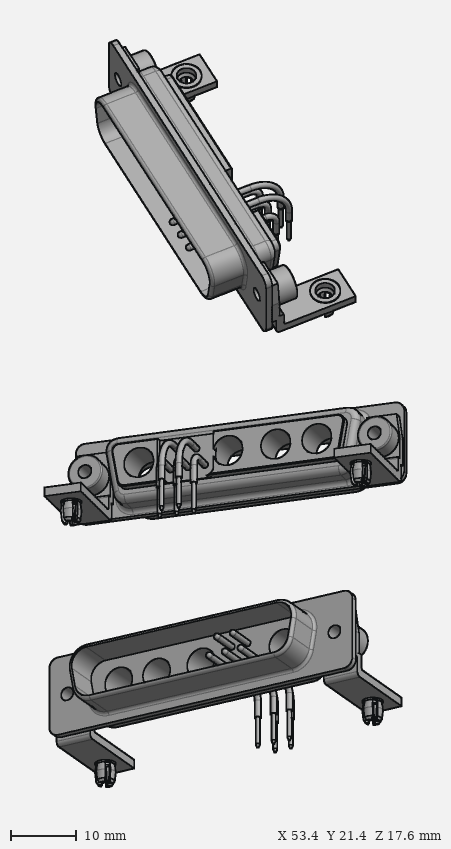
import cadquery as cq
import math


OVERALL_DEPTH = 21.35
OVERALL_HEIGHT = 17.6

FLANGE_LENGTH = 53.4
FLANGE_HEIGHT = 12.95
FLANGE_THICKNESS = 1.05
FLANGE_CORNER_RADIUS = 1.5

END_SLOPE = math.radians(10)

SHELL_LENGTH = 5.95
SHELL_HEIGHT = 9.35
SHELL_HALF_WIDTH = 19.7
SHELL_CORNER_RADIUS = 3.15
SHELL_WALL = 0.6
SHELL_RIM_RADIUS = 0.55
SHELL_FLARE_RADIUS = 0.5

HOUSING_BACK_Y = 5.0
HOUSING_HEIGHT = 10.8
HOUSING_HALF_WIDTH = 20.1
HOUSING_CORNER_RADIUS = 2.05
HOUSING_EDGE_RADIUS = 1.1
HOUSING_FLARE_RADIUS = 0.75

INSULATOR_BACK_Y = 6.45
INSULATOR_HEIGHT = 7.1
INSULATOR_HALF_WIDTH = 18.5
INSULATOR_CORNER_RADIUS = 1.1
INSULATOR_CHAMFER = 0.15

CONTACT_HOLE_XS = (-14.5, -7.8, 0.0, 14.5)
CONTACT_HOLE_DIAMETER = 4.8

PIN_CENTER_X = 6.9
PIN_PITCH = 2.8
PIN_ROW_SPACING = 2.85
PIN_ROW_Z = PIN_ROW_SPACING / 2
PIN_DIAMETER = 1.0
PIN_TIP_Y = -5.1
UPPER_PIN_BACK_Y = 13.2
UPPER_BEND_RADIUS = 5.3
LOWER_PIN_BACK_Y = 10.3
LOWER_BEND_RADIUS = 1.9
TAIL_DIAMETER = 0.7
TAIL_TIP_CHAMFER_WIDTH = 0.2
TAIL_TIP_CHAMFER_LENGTH = 0.55
TAIL_TOP_Z = -6.15
TAIL_BOTTOM_Z = FLANGE_HEIGHT / 2 - OVERALL_HEIGHT

NOTCH_WIDTH = 9.15
NOTCH_FLOOR_Y = 5.35
NOTCH_CORNER_RADIUS = 1.25

BRACKET_CENTER_X = 23.55
BRACKET_WIDTH = 5.95
BRACKET_BACK_Y = OVERALL_DEPTH - SHELL_LENGTH
FOOT_TOP_Z = -5.75
FOOT_BOTTOM_Z = -7.2
TAB_TOP_Z = 4.0
TAB_TOP_WIDTH = 4.8
TAB_THICKNESS = 1.35
LEG_FRONT_Y = 1.85
LEG_BACK_Y = 3.2
JOG_FRONT_Z = -4.1
JOG_BACK_Z = -3.3
JOG_RADIUS = 0.3
BEND_OUTER_RADIUS = 0.7

SLEEVE_DIAMETER = 5.5
SLEEVE_BACK_Y = 5.65
SLEEVE_EDGE_RADIUS = 0.2
SCREW_HOLE_DIAMETER = 2.15

LOCK_Y = 11.7
LOCK_COLLAR_DIAMETER = 4.65
LOCK_COLLAR_HEIGHT = 0.15
LOCK_MOUTH_RADIUS = 1.5
LOCK_MOUTH_BOTTOM_Z = -6.75
LOCK_BORE_RADIUS = 1.05
LOCK_NECK_RADIUS = 1.6
LOCK_TOP_RADIUS = 1.45
LOCK_TOP_Z = -7.5
LOCK_BULGE_RADIUS = 1.6
LOCK_BULGE_Z = -8.7
LOCK_SHOULDER_RADIUS = 1.45
LOCK_SHOULDER_Z = -10.15
LOCK_BOTTOM_Z = -10.65
LOCK_END_RADIUS = 1.2
LOCK_TIP_BORE_RADIUS = 0.6
LOCK_SLOT_WIDTH = 0.8
LOCK_SLOT_TOP_Z = -7.35


def y_prism(sketch, y_start, y_end):
    """Extrude an outline drawn by `sketch` on an X-Z plane from y_start to y_end."""
    return sketch(cq.Workplane("XZ", origin=(0, y_start, 0))).extrude(y_start - y_end)


def d_block(half_width, height, corner_radius, y_start, y_end):
    """D-shaped block; half_width is measured halfway up."""
    half_height = height / 2
    lean = half_height * math.tan(END_SLOPE)
    corners = [
        (-half_width - lean, half_height),
        (half_width + lean, half_height),
        (half_width - lean, -half_height),
        (-half_width + lean, -half_height),
    ]
    block = y_prism(lambda plane: plane.polyline(corners).close(), y_start, y_end)
    return block.edges("|Y").fillet(corner_radius)


def base_edges(y):
    """Select the edges on the plane at y that lie within the outline of the flange."""
    tolerance = 0.005
    half_length = FLANGE_LENGTH / 2 - FLANGE_CORNER_RADIUS
    half_height = FLANGE_HEIGHT / 2 - tolerance
    return cq.selectors.BoxSelector(
        (-half_length, y - tolerance, -half_height),
        (half_length, y + tolerance, half_height),
    )


def make_body():
    """Flange, mating shell, rear housing and insulator."""
    flange = y_prism(lambda plane: plane.rect(FLANGE_LENGTH, FLANGE_HEIGHT), 0, FLANGE_THICKNESS)
    flange = flange.edges("|Y").fillet(FLANGE_CORNER_RADIUS)

    shell = d_block(SHELL_HALF_WIDTH, SHELL_HEIGHT, SHELL_CORNER_RADIUS, -SHELL_LENGTH, 0)
    shell = shell.faces("<Y").edges().fillet(SHELL_RIM_RADIUS)
    housing = d_block(
        HOUSING_HALF_WIDTH, HOUSING_HEIGHT, HOUSING_CORNER_RADIUS, FLANGE_THICKNESS, HOUSING_BACK_Y
    )
    housing = housing.faces(">Y").edges().fillet(HOUSING_EDGE_RADIUS)

    body = flange.union(shell).union(housing)
    body = body.edges(base_edges(0)).fillet(SHELL_FLARE_RADIUS)
    body = body.edges(base_edges(FLANGE_THICKNESS)).fillet(HOUSING_FLARE_RADIUS)

    cavity = d_block(
        SHELL_HALF_WIDTH - SHELL_WALL / math.cos(END_SLOPE),
        SHELL_HEIGHT - 2 * SHELL_WALL,
        SHELL_CORNER_RADIUS - SHELL_WALL,
        -SHELL_LENGTH,
        0,
    )
    insulator = d_block(
        INSULATOR_HALF_WIDTH, INSULATOR_HEIGHT, INSULATOR_CORNER_RADIUS, 0, INSULATOR_BACK_Y
    )
    insulator = insulator.faces(">Y").edges().chamfer(INSULATOR_CHAMFER)
    return body.cut(cavity).union(insulator).cut(make_notch()).cut(make_contact_holes())


def make_notch():
    """Pin notch: open at the top, its lower corners rounding in to the insulator's bottom."""
    notch = y_prism(
        lambda plane: plane.center(PIN_CENTER_X, 0).rect(NOTCH_WIDTH, INSULATOR_HEIGHT),
        NOTCH_FLOOR_Y,
        INSULATOR_BACK_Y,
    )
    return notch.faces("<Z").edges("|Y").fillet(NOTCH_CORNER_RADIUS)


def make_contact_holes():
    centers = [(x, 0) for x in CONTACT_HOLE_XS]
    return y_prism(
        lambda plane: plane.pushPoints(centers).circle(CONTACT_HOLE_DIAMETER / 2), 0, INSULATOR_BACK_Y
    )


def make_pin(x, z, back_y, bend_radius):
    """Round pin running back from its domed tip, bending down into a thinner tail."""
    dome_y = PIN_TIP_Y + PIN_DIAMETER / 2
    bend_start_y = back_y - bend_radius
    bend_middle = bend_radius * math.sqrt(0.5)
    path = (
        cq.Workplane("YZ", origin=(x, 0, 0))
        .moveTo(dome_y, z)
        .lineTo(bend_start_y, z)
        .threePointArc(
            (bend_start_y + bend_middle, z - bend_radius + bend_middle),
            (back_y, z - bend_radius),
        )
        .lineTo(back_y, TAIL_TOP_Z)
    )
    pin = cq.Workplane("XZ", origin=(x, dome_y, z)).circle(PIN_DIAMETER / 2).sweep(path)
    dome = cq.Workplane("XY", origin=(x, dome_y, z)).sphere(PIN_DIAMETER / 2)
    tail = (
        cq.Workplane("XY", origin=(x, back_y, TAIL_TOP_Z))
        .circle(TAIL_DIAMETER / 2)
        .extrude(TAIL_BOTTOM_Z - TAIL_TOP_Z)
        .faces("<Z")
        .chamfer(TAIL_TIP_CHAMFER_LENGTH, TAIL_TIP_CHAMFER_WIDTH)
    )
    return pin.union(dome).union(tail)


def make_pins():
    upper = [
        make_pin(PIN_CENTER_X + step * PIN_PITCH, PIN_ROW_Z, UPPER_PIN_BACK_Y, UPPER_BEND_RADIUS)
        for step in (-0.5, 0.5)
    ]
    lower = [
        make_pin(PIN_CENTER_X + step * PIN_PITCH, -PIN_ROW_Z, LOWER_PIN_BACK_Y, LOWER_BEND_RADIUS)
        for step in (-1, 0, 1)
    ]
    return upper + lower


def make_bracket(x):
    """Bent bracket: tab against the flange, stepped-back leg and foot on the board."""
    tab_back_y = FLANGE_THICKNESS + TAB_THICKNESS
    profile = [
        (FLANGE_THICKNESS, TAB_TOP_Z),
        (tab_back_y, TAB_TOP_Z),
        (tab_back_y, JOG_BACK_Z),
        (LEG_BACK_Y, JOG_BACK_Z),
        (LEG_BACK_Y, FOOT_TOP_Z),
        (BRACKET_BACK_Y, FOOT_TOP_Z),
        (BRACKET_BACK_Y, FOOT_BOTTOM_Z),
        (LEG_FRONT_Y, FOOT_BOTTOM_Z),
        (LEG_FRONT_Y, JOG_FRONT_Z),
        (FLANGE_THICKNESS, JOG_FRONT_Z),
    ]
    bracket = (
        cq.Workplane("YZ", origin=(x, 0, 0))
        .polyline(profile)
        .close()
        .extrude(BRACKET_WIDTH / 2, both=True)
    )

    def bend_edge(y, z):
        return bracket.edges(cq.selectors.NearestToPointSelector((x, y, z))).vals()

    small_bends = [(LEG_BACK_Y, JOG_BACK_Z), (LEG_BACK_Y, FOOT_TOP_Z), (LEG_FRONT_Y, JOG_FRONT_Z)]
    for y, z in small_bends:
        bracket = bracket.newObject(bend_edge(y, z)).fillet(JOG_RADIUS)
    bracket = bracket.newObject(bend_edge(LEG_FRONT_Y, FOOT_BOTTOM_Z)).fillet(BEND_OUTER_RADIUS)

    half_width = BRACKET_WIDTH / 2
    outline = [
        (x - half_width, FOOT_BOTTOM_Z),
        (x - half_width, 0),
        (x - TAB_TOP_WIDTH / 2, TAB_TOP_Z),
        (x + TAB_TOP_WIDTH / 2, TAB_TOP_Z),
        (x + half_width, 0),
        (x + half_width, FOOT_BOTTOM_Z),
    ]
    envelope = y_prism(lambda plane: plane.polyline(outline).close(), 0, BRACKET_BACK_Y)
    sleeve = y_prism(
        lambda plane: plane.center(x, 0).circle(SLEEVE_DIAMETER / 2), FLANGE_THICKNESS, SLEEVE_BACK_Y
    )
    sleeve = sleeve.faces(">Y").edges().fillet(SLEEVE_EDGE_RADIUS)
    return bracket.intersect(envelope).union(sleeve)


def make_screw_hole(x):
    return y_prism(
        lambda plane: plane.center(x, 0).circle(SCREW_HOLE_DIAMETER / 2), 0, SLEEVE_BACK_Y
    )


def revolve_about_lock_axis(profile, x):
    """Revolve a (radius, z) profile about the vertical axis of a board lock."""
    return (
        cq.Workplane("XZ", origin=(x, LOCK_Y, 0))
        .polyline(profile)
        .close()
        .revolve(360, (0, 0), (0, 1))
    )


def make_lock(x):
    """Board lock: low collar on the foot and four prongs below it."""
    collar_radius = LOCK_COLLAR_DIAMETER / 2
    lock = revolve_about_lock_axis(
        [
            (0, FOOT_TOP_Z + LOCK_COLLAR_HEIGHT),
            (collar_radius, FOOT_TOP_Z + LOCK_COLLAR_HEIGHT),
            (collar_radius, FOOT_TOP_Z),
            (LOCK_NECK_RADIUS, FOOT_TOP_Z),
            (LOCK_NECK_RADIUS, FOOT_BOTTOM_Z),
            (LOCK_TOP_RADIUS, LOCK_TOP_Z),
            (LOCK_BULGE_RADIUS, LOCK_BULGE_Z),
            (LOCK_SHOULDER_RADIUS, LOCK_SHOULDER_Z),
            (LOCK_END_RADIUS, LOCK_BOTTOM_Z),
            (0, LOCK_BOTTOM_Z),
        ],
        x,
    )
    slot_height = LOCK_SLOT_TOP_Z - LOCK_BOTTOM_Z
    for angle in (45, 135):
        slot = (
            cq.Workplane("XY", origin=(x, LOCK_Y, LOCK_BOTTOM_Z))
            .transformed(rotate=(0, 0, angle))
            .rect(LOCK_COLLAR_DIAMETER, LOCK_SLOT_WIDTH)
            .extrude(slot_height)
        )
        lock = lock.cut(slot)
    return lock


def make_lock_bore(x):
    """Bore of a board lock: a straight mouth, then a funnel that narrows between the prongs."""
    return revolve_about_lock_axis(
        [
            (0, FOOT_TOP_Z + LOCK_COLLAR_HEIGHT),
            (LOCK_MOUTH_RADIUS, FOOT_TOP_Z + LOCK_COLLAR_HEIGHT),
            (LOCK_MOUTH_RADIUS, LOCK_MOUTH_BOTTOM_Z),
            (LOCK_BORE_RADIUS, FOOT_BOTTOM_Z),
            (LOCK_TIP_BORE_RADIUS, LOCK_BOTTOM_Z),
            (0, LOCK_BOTTOM_Z),
        ],
        x,
    )


result = make_body()
for pin in make_pins():
    result = result.union(pin)
for bracket_x in (-BRACKET_CENTER_X, BRACKET_CENTER_X):
    result = result.union(make_bracket(bracket_x)).union(make_lock(bracket_x))
    result = result.cut(make_screw_hole(bracket_x)).cut(make_lock_bore(bracket_x))